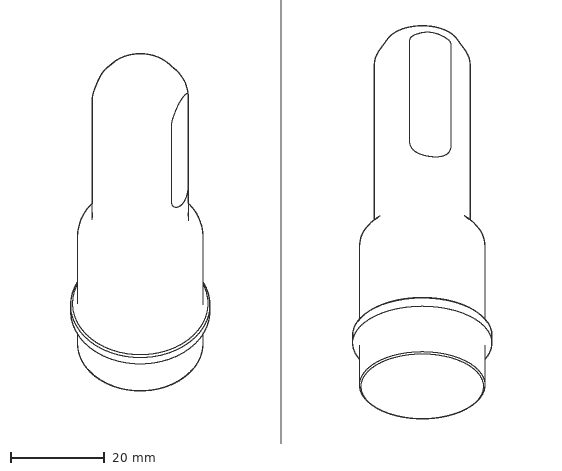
import cadquery as cq
import math

LENGTH = 86.4

BODY_R = 26.9 / 2
BOTTOM_CHAMFER = 0.35
COLLAR_R = 29.8 / 2
COLLAR_BOTTOM = 10.9
COLLAR_TOP = 13.4
COLLAR_CHAMFER = 0.4
COLLAR_ROOT_FILLET = 0.35

SHANK_R = 20.55 / 2
SHOULDER_BOTTOM = 36.6
SHOULDER_TOP = SHOULDER_BOTTOM + BODY_R - SHANK_R
SHOULDER_ROUND = 3.2
SHOULDER_FILLET = 2.85

TIP_R = 7.6
TIP_ANGLE = math.radians(30)
TIP_BASE = LENGTH - (SHANK_R - TIP_R) / math.tan(TIP_ANGLE)
TIP_BASE_ROUND = 3.2
TIP_END_ROUND = 1.3

FLAT_DISTANCE = 9.2
FLAT_BOTTOM = 55.5
RUNOUT_LENGTH = 4.0
FLAT_DEPTH = SHANK_R - FLAT_DISTANCE
RUNOUT_R = (RUNOUT_LENGTH**2 + FLAT_DEPTH**2) / (2 * FLAT_DEPTH)

EDGE_TOLERANCE = 0.01


def round_circle(solid, radius, z, fillet):
    """Fillet the circular edge of the given radius at height z."""
    reach = radius + EDGE_TOLERANCE
    box = cq.selectors.BoxSelector(
        (-reach, -reach, z - EDGE_TOLERANCE),
        (reach, reach, z + EDGE_TOLERANCE),
        boundingbox=True,
    )
    return solid.edges(box).fillet(fillet)


def make_shaft():
    """Revolved shaft with its shoulder and tip rounded."""
    shaft = (
        cq.Workplane("XZ")
        .moveTo(0, 0)
        .lineTo(BODY_R - BOTTOM_CHAMFER, 0)
        .lineTo(BODY_R, BOTTOM_CHAMFER)
        .lineTo(BODY_R, SHOULDER_BOTTOM)
        .lineTo(SHANK_R, SHOULDER_TOP)
        .lineTo(SHANK_R, TIP_BASE)
        .lineTo(TIP_R, LENGTH)
        .lineTo(0, LENGTH)
        .close()
        .revolve(360, (0, 0), (0, 1))
    )
    shaft = round_circle(shaft, BODY_R, SHOULDER_BOTTOM, SHOULDER_ROUND)
    shaft = round_circle(shaft, SHANK_R, SHOULDER_TOP, SHOULDER_FILLET)
    shaft = round_circle(shaft, SHANK_R, TIP_BASE, TIP_BASE_ROUND)
    return round_circle(shaft, TIP_R, LENGTH, TIP_END_ROUND)


def make_collar():
    """Retaining collar with a chamfered upper outer edge."""
    collar = cq.Workplane("XY").workplane(offset=COLLAR_BOTTOM).circle(COLLAR_R)
    return collar.extrude(COLLAR_TOP - COLLAR_BOTTOM).edges(">Z").chamfer(COLLAR_CHAMFER)


def make_flat_cutter():
    """Material removed at the +X flat; the run-out arc is tangent to the flat."""
    arc_turn = math.asin(RUNOUT_LENGTH / RUNOUT_R) / 2
    arc_middle = (
        FLAT_DISTANCE + RUNOUT_R * (1 - math.cos(arc_turn)),
        FLAT_BOTTOM - RUNOUT_R * math.sin(arc_turn),
    )
    return (
        cq.Workplane("XZ")
        .moveTo(FLAT_DISTANCE, LENGTH)
        .lineTo(FLAT_DISTANCE, FLAT_BOTTOM)
        .threePointArc(arc_middle, (SHANK_R, FLAT_BOTTOM - RUNOUT_LENGTH))
        .lineTo(BODY_R, FLAT_BOTTOM - RUNOUT_LENGTH)
        .lineTo(BODY_R, LENGTH)
        .close()
        .extrude(SHANK_R, both=True)
    )


result = make_shaft().union(make_collar())
for root_height in (COLLAR_BOTTOM, COLLAR_TOP):
    result = round_circle(result, BODY_R, root_height, COLLAR_ROOT_FILLET)

flat_cutter = make_flat_cutter()
for side_angle in (0, 180):
    result = result.cut(flat_cutter.rotate((0, 0, 0), (0, 0, 1), side_angle))